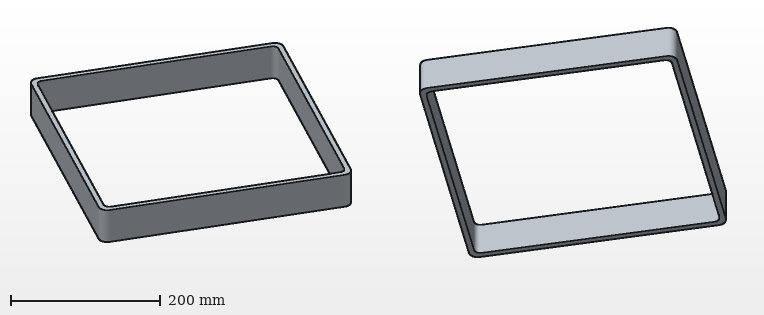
import cadquery as cq

side = 350.0
height = 50.0
wall = 8.0
outer_radius = 12.0
inner_radius = 8.0


def rounded_block(width, corner_radius):
    """Square block standing on Z = 0 with rounded vertical edges."""
    block = cq.Workplane("XY").rect(width, width).extrude(height)
    return block.edges("|Z").fillet(corner_radius)


outer_block = rounded_block(side, outer_radius)
opening = rounded_block(side - 2 * wall, inner_radius)

result = outer_block.cut(opening)